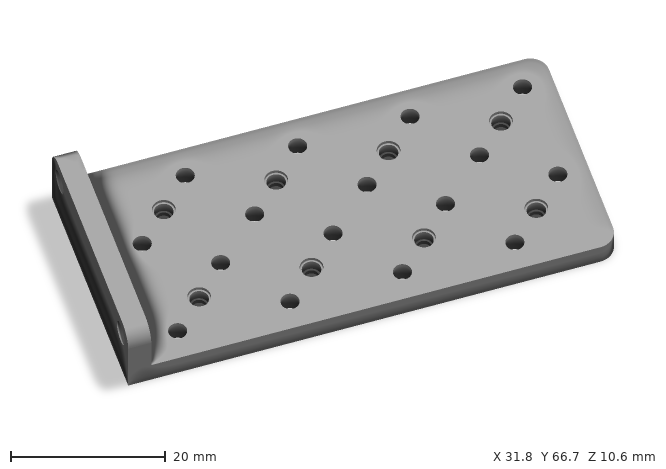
import cadquery as cq

width = 31.75
length = 66.7
height = 10.55
thickness = 3.15
corner_radius = 2.55

mount_diameter = 3.3
mount_inset = thickness

group_spacing_x = 14.75
group_pitch_y = 15.3
group_columns = 2
group_rows = 4
first_group_y = 12.4
side_offset = 4.35
plain_diameter = 2.5

hole_steps = [
    (3.1, 0.5),
    (2.55, 2.0),
    (2.0, 2.7),
    (0.9, thickness),
]


def make_body():
    """L-shaped bracket with its free corners rounded."""
    plate = (
        cq.Workplane("XY")
        .box(width, length, thickness, centered=(True, False, False))
        .edges("|Z and >Y")
        .fillet(corner_radius)
    )
    flange = (
        cq.Workplane("XY")
        .box(width, thickness, height, centered=(True, False, False))
        .edges("|Y and >Z")
        .fillet(corner_radius)
    )
    return plate.union(flange)


def mount_holes():
    """Two cylinders through the flange along Y."""
    hole_x = width / 2 - mount_inset
    hole_z = height - mount_inset
    return (
        cq.Workplane("XZ")
        .pushPoints([(-hole_x, hole_z), (hole_x, hole_z)])
        .circle(mount_diameter / 2)
        .extrude(-thickness)
    )


def group_centers():
    """Centres of the stepped holes, column by column."""
    first_x = -group_spacing_x * (group_columns - 1) / 2
    return [
        (first_x + column * group_spacing_x, first_group_y + row * group_pitch_y)
        for column in range(group_columns)
        for row in range(group_rows)
    ]


def plain_holes():
    """Through cylinders to the upper left and lower right of each stepped hole."""
    points = []
    for x, y in group_centers():
        points.append((x - side_offset, y + side_offset))
        points.append((x + side_offset, y - side_offset))
    return cq.Workplane("XY").pushPoints(points).circle(plain_diameter / 2).extrude(thickness)


def stepped_holes():
    """Coaxial cylinders that narrow in steps from the top face and run through."""
    cutter = cq.Workplane("XY")
    for diameter, depth in hole_steps:
        step = (
            cq.Workplane("XY")
            .workplane(offset=thickness)
            .pushPoints(group_centers())
            .circle(diameter / 2)
            .extrude(-depth)
        )
        cutter = cutter.union(step)
    return cutter


result = make_body().cut(mount_holes()).cut(plain_holes()).cut(stepped_holes())